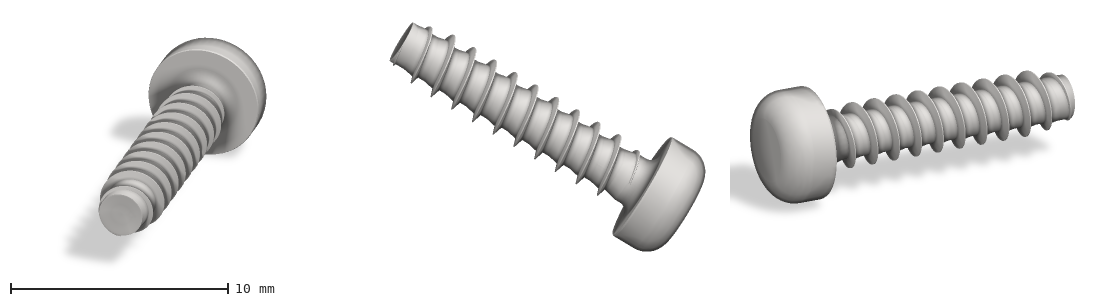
import cadquery as cq
import math


HEAD_RADIUS = 5.3 / 2
HEAD_HEIGHT = 2.3
HEAD_ROUND = HEAD_HEIGHT / 2
HEAD_EDGE_CHAMFER_LENGTH = 0.08
HEAD_EDGE_CHAMFER_WIDTH = 0.03

SHANK_LENGTH = 13.0
NECK_RADIUS = 1.18
NECK_FILLET = 0.5
NECK_END = 0.78
NECK_CONE_END = 1.4
CORE_RADIUS = 1.03
TIP_DISH_RADIUS = 0.99
TIP_DISH_DEPTH = 0.08

PITCH = 1.12
THREAD_RADIUS = 1.5
THREAD_TURNS = 11.0
THREAD_START = SHANK_LENGTH - THREAD_TURNS * PITCH
START_ANGLE = -90.0
RUN_IN_TURNS = 1.0
RUN_OUT_TURNS = 1.5
RUN_IN_RADIUS = 1.25
RUN_OUT_RADIUS = 1.08
CREST_HALF_WIDTH = 0.025
FLANK_ANGLE = 17.0
FLANK_SLOPE = math.tan(math.radians(FLANK_ANGLE))
ROOT_TOP_RADIUS = 1.13
ROOT_RUN_OUT_RADIUS = CORE_RADIUS + 0.02
ROOT_CONE_END = 0.67
ROOT_CONE_END_RADIUS = CORE_RADIUS - 0.01
BURIED_RADIUS = CORE_RADIUS - 0.13
POINTS_PER_TURN = 24


def make_head_and_core():
    """Revolve the head, the neck and the plain core as one profile of (radius, Z)."""
    round_mid = HEAD_ROUND * math.sqrt(0.5)
    fillet_mid = NECK_FILLET * (1 - math.sqrt(0.5))
    profile = (
        cq.Workplane("XZ")
        .moveTo(0, -HEAD_HEIGHT)
        .lineTo(HEAD_RADIUS - HEAD_ROUND, -HEAD_HEIGHT)
        .threePointArc(
            (HEAD_RADIUS - HEAD_ROUND + round_mid, HEAD_ROUND - HEAD_HEIGHT - round_mid),
            (HEAD_RADIUS, HEAD_ROUND - HEAD_HEIGHT),
        )
        .lineTo(HEAD_RADIUS, -HEAD_EDGE_CHAMFER_LENGTH)
        .lineTo(HEAD_RADIUS - HEAD_EDGE_CHAMFER_WIDTH, 0)
        .lineTo(NECK_RADIUS + NECK_FILLET, 0)
        .threePointArc(
            (NECK_RADIUS + fillet_mid, fillet_mid),
            (NECK_RADIUS, NECK_FILLET),
        )
        .lineTo(NECK_RADIUS, NECK_END)
        .lineTo(CORE_RADIUS, NECK_CONE_END)
        .lineTo(CORE_RADIUS, SHANK_LENGTH)
        .lineTo(0, SHANK_LENGTH)
        .close()
    )
    return profile.revolve(360, (0, 0, 0), (0, 1, 0))


def thread_section(crest_radius, root_radius):
    """Thread corners as (radius, axial offset from the crest), from the head side to the tip side."""
    head_foot = CREST_HALF_WIDTH + (crest_radius - BURIED_RADIUS) * FLANK_SLOPE
    root_start = CREST_HALF_WIDTH + (crest_radius - root_radius) * FLANK_SLOPE
    return [
        (BURIED_RADIUS, -head_foot),
        (crest_radius, -CREST_HALF_WIDTH),
        (crest_radius, CREST_HALF_WIDTH),
        (root_radius, root_start),
        (ROOT_CONE_END_RADIUS, ROOT_CONE_END),
        (BURIED_RADIUS, ROOT_CONE_END),
    ]


def point_on_thread(turn, corner):
    radius, offset = corner
    angle = math.radians(START_ANGLE + 360 * turn)
    return cq.Vector(
        radius * math.cos(angle),
        radius * math.sin(angle),
        THREAD_START + turn * PITCH + offset,
    )


def helical_edge(first_turn, last_turn, first_corner, last_corner):
    """Helix along which a section corner moves evenly from one place to another."""
    steps = round((last_turn - first_turn) * POINTS_PER_TURN)
    points = []
    for step in range(steps + 1):
        share = step / steps
        corner = [a + (b - a) * share for a, b in zip(first_corner, last_corner)]
        points.append(point_on_thread(first_turn + (last_turn - first_turn) * share, corner))
    return cq.Edge.makeSpline(points)


def section_face(turn, section):
    corners = [point_on_thread(turn, corner) for corner in section]
    return cq.Face.makeFromWires(cq.Wire.makePolygon(corners, close=True))


def make_thread():
    """Thread solid: run-in, full thread and run-out, skinned with ruled helical faces."""
    full_section = thread_section(THREAD_RADIUS, ROOT_TOP_RADIUS)
    stations = [
        (0.0, thread_section(RUN_IN_RADIUS, ROOT_TOP_RADIUS)),
        (RUN_IN_TURNS, full_section),
        (THREAD_TURNS - RUN_OUT_TURNS, full_section),
        (THREAD_TURNS, thread_section(RUN_OUT_RADIUS, ROOT_RUN_OUT_RADIUS)),
    ]
    faces = [section_face(*stations[0]), section_face(*stations[-1])]
    for (turn_a, section_a), (turn_b, section_b) in zip(stations, stations[1:]):
        edges = [helical_edge(turn_a, turn_b, a, b) for a, b in zip(section_a, section_b)]
        for edge, next_edge in zip(edges, edges[1:] + edges[:1]):
            faces.append(cq.Face.makeRuledSurface(edge, next_edge))
    return cq.Workplane(cq.Solid.makeSolid(cq.Shell.makeShell(faces)).fix())


def trim_tip(screw):
    """Cut the thread flush with the tip and hollow the tip face to a shallow spherical dish."""
    beyond_tip = cq.Workplane("XY", origin=(0, 0, SHANK_LENGTH)).circle(HEAD_RADIUS).extrude(2 * PITCH)
    dish_sphere_radius = (TIP_DISH_RADIUS**2 + TIP_DISH_DEPTH**2) / (2 * TIP_DISH_DEPTH)
    dish_centre = SHANK_LENGTH - TIP_DISH_DEPTH + dish_sphere_radius
    dish = cq.Workplane("XY", origin=(0, 0, dish_centre)).sphere(dish_sphere_radius)
    return screw.cut(beyond_tip).cut(dish)


screw = trim_tip(make_head_and_core().union(make_thread()))
result = screw.rotate((0, 0, 0), (1, 0, 0), 90).solids()